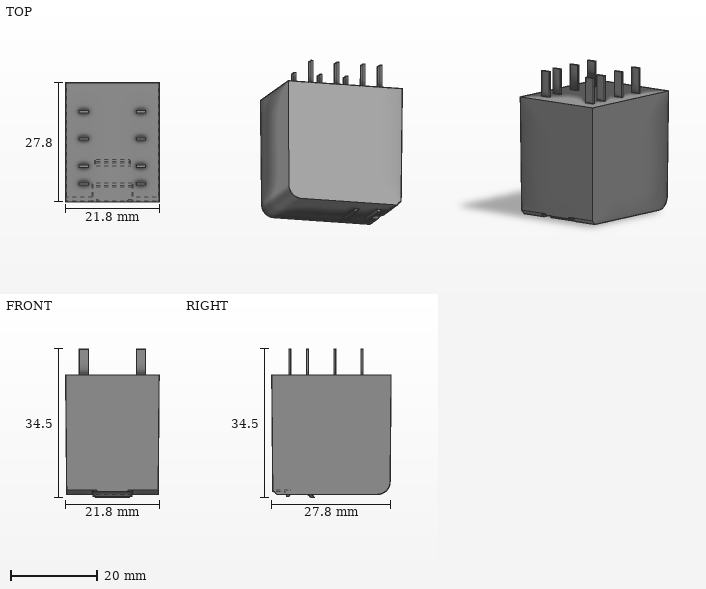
import cadquery as cq
import math

TOP_WIDTH = 21.8
TOP_LENGTH = 27.8
HOUSING_HEIGHT = 27.8
DRAFT_ANGLE = 0.5
REAR_EDGE_RADIUS = 3.0
FRONT_CHAMFER_HEIGHT = 1.0
FRONT_CHAMFER_DEPTH = 0.95

PIN_WIDTH = 2.2
PIN_THICKNESS = 0.5
PIN_HEIGHT = 6.0
PIN_COLUMN_SPACING = 13.3
PIN_ROWS_Y = (7.1, 0.8, -5.55, -9.65)

TONGUE_WIDTH = 9.1
TONGUE_GAP = 0.2
TONGUE_LIP_Z = 0.65
LIP_MIDDLE_BOTTOM_WIDTH = 6.8
LIP_MIDDLE_TOP_WIDTH = 7.4
FOOT_FRONT_Y = -10.4
FOOT_BACK_Y = -9.5
FOOT_DROP = 0.5
FOOT_FILLET = 0.45
FOOT_FACE_TILT = 12.0

FINGER_DROP = 0.7
FINGER_ROOT_WIDTH = 8.4
FINGER_TIP_WIDTH = 7.9
FINGER_ROOT_Y = (-5.5, -4.45)
FINGER_TIP_Y = (-4.8, -3.95)

DRAFT_INSET = HOUSING_HEIGHT * math.tan(math.radians(DRAFT_ANGLE))
BOTTOM_FRONT_Y = DRAFT_INSET - TOP_LENGTH / 2
DRAFT_SLOPE = DRAFT_INSET / HOUSING_HEIGHT


def front_y(z):
    """Y of the drafted front face at height z."""
    return BOTTOM_FRONT_Y - DRAFT_SLOPE * z


def extrude_across(profile, width):
    """Extrude a closed YZ profile symmetrically along X."""
    return profile.close().extrude(width / 2, both=True)


def make_housing():
    housing = (
        cq.Workplane("XY")
        .workplane(offset=HOUSING_HEIGHT)
        .rect(TOP_WIDTH, TOP_LENGTH)
        .extrude(-HOUSING_HEIGHT, taper=DRAFT_ANGLE)
    )
    housing = housing.faces("<Z").edges(">Y").fillet(REAR_EDGE_RADIUS)
    chamfer_cut = (
        cq.Workplane("YZ")
        .moveTo(BOTTOM_FRONT_Y + FRONT_CHAMFER_DEPTH, 0)
        .lineTo(front_y(FRONT_CHAMFER_HEIGHT), FRONT_CHAMFER_HEIGHT)
        .lineTo(BOTTOM_FRONT_Y - FRONT_CHAMFER_DEPTH, FRONT_CHAMFER_HEIGHT)
        .lineTo(BOTTOM_FRONT_Y - FRONT_CHAMFER_DEPTH, 0)
    )
    return housing.cut(extrude_across(chamfer_cut, TOP_WIDTH))


def make_tongue_recess():
    """Opening around the tongue, as high as the front chamfer."""
    depth = FOOT_BACK_Y + TOP_LENGTH / 2
    return cq.Workplane("XY").box(
        TONGUE_WIDTH + 2 * TONGUE_GAP, depth, FRONT_CHAMFER_HEIGHT,
        centered=(True, False, False),
    ).translate((0, -TOP_LENGTH / 2, 0))


def make_tongue():
    """Lip flush with the front face, rounding off down into a hooked foot."""
    tilt = math.radians(FOOT_FACE_TILT)
    center_z = TONGUE_LIP_Z - FOOT_FILLET
    end_z = center_z + FOOT_FILLET * math.sin(tilt)
    end_y = FOOT_FRONT_Y - (end_z + FOOT_DROP) * math.tan(tilt)
    center_y = end_y - FOOT_FILLET * math.cos(tilt)
    mid_angle = (math.pi / 2 + tilt) / 2
    mid_y = center_y + FOOT_FILLET * math.cos(mid_angle)
    mid_z = center_z + FOOT_FILLET * math.sin(mid_angle)
    profile = (
        cq.Workplane("YZ")
        .moveTo(front_y(FRONT_CHAMFER_HEIGHT), FRONT_CHAMFER_HEIGHT)
        .lineTo(front_y(TONGUE_LIP_Z), TONGUE_LIP_Z)
        .lineTo(center_y, TONGUE_LIP_Z)
        .threePointArc((mid_y, mid_z), (end_y, end_z))
        .lineTo(FOOT_FRONT_Y, -FOOT_DROP)
        .lineTo(FOOT_BACK_Y - FOOT_DROP, -FOOT_DROP)
        .lineTo(FOOT_BACK_Y, 0)
        .lineTo(FOOT_BACK_Y, FRONT_CHAMFER_HEIGHT)
    )
    return extrude_across(profile, TONGUE_WIDTH).cut(make_lip_corner_cut())


def make_lip_corner_cut():
    """Material that bevels both ends of the lip and leaves its middle stretch flush."""
    bevel = (
        cq.Workplane("YZ")
        .moveTo(front_y(FRONT_CHAMFER_HEIGHT), FRONT_CHAMFER_HEIGHT)
        .lineTo(front_y(TONGUE_LIP_Z) + FRONT_CHAMFER_HEIGHT - TONGUE_LIP_Z, TONGUE_LIP_Z)
        .lineTo(front_y(TONGUE_LIP_Z), TONGUE_LIP_Z)
    )
    middle = (
        cq.Workplane("XZ")
        .moveTo(-LIP_MIDDLE_BOTTOM_WIDTH / 2, TONGUE_LIP_Z)
        .lineTo(LIP_MIDDLE_BOTTOM_WIDTH / 2, TONGUE_LIP_Z)
        .lineTo(LIP_MIDDLE_TOP_WIDTH / 2, FRONT_CHAMFER_HEIGHT)
        .lineTo(-LIP_MIDDLE_TOP_WIDTH / 2, FRONT_CHAMFER_HEIGHT)
        .close()
        .extrude(TOP_LENGTH)
    )
    return extrude_across(bevel, TONGUE_WIDTH).cut(middle)


def make_finger():
    root_front, root_back = FINGER_ROOT_Y
    tip_front, tip_back = FINGER_TIP_Y
    root_center = (root_front + root_back) / 2
    tip_center = (tip_front + tip_back) / 2
    return (
        cq.Workplane("XY")
        .center(0, root_center)
        .rect(FINGER_ROOT_WIDTH, root_back - root_front)
        .workplane(offset=-FINGER_DROP)
        .center(0, tip_center - root_center)
        .rect(FINGER_TIP_WIDTH, tip_back - tip_front)
        .loft(ruled=True)
    )


def make_pins():
    column_x = PIN_COLUMN_SPACING / 2
    positions = [(x, y) for x in (-column_x, column_x) for y in PIN_ROWS_Y]
    return (
        cq.Workplane("XY")
        .workplane(offset=HOUSING_HEIGHT)
        .pushPoints(positions)
        .rect(PIN_WIDTH, PIN_THICKNESS)
        .extrude(PIN_HEIGHT)
    )


result = (
    make_housing()
    .cut(make_tongue_recess())
    .union(make_tongue())
    .union(make_finger())
    .union(make_pins())
)